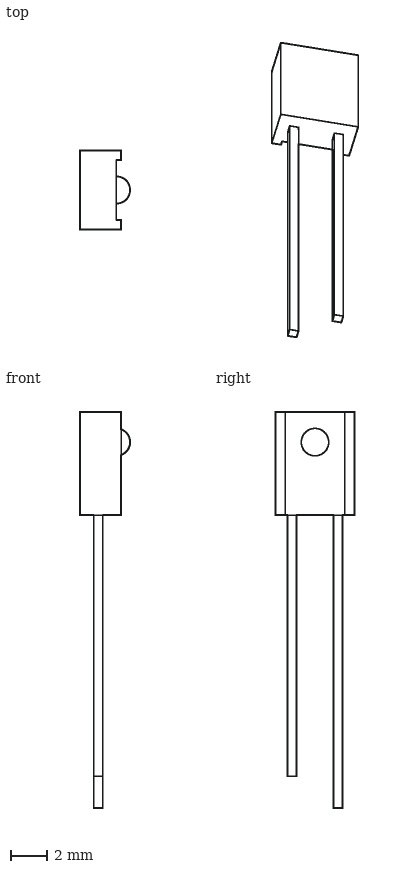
import cadquery as cq


body_width = 4.4
body_height = 5.72
core_depth = 2.03
lip_depth = 0.26
lip_width = 0.54

lens_diameter = 1.52
lens_drop = 1.68

lead_size = 0.51
lead_pitch = 2.54
overall_height = 21.95
lead_length_difference = 1.76

channel_floor_x = core_depth / 2
back_x = -core_depth / 2
body_depth = core_depth + lip_depth
channel_width = body_width - 2 * lip_width
lens_z = body_height - lens_drop
long_lead_length = overall_height - body_height
short_lead_length = long_lead_length - lead_length_difference


def make_body():
    """Rectangular block with a full-height channel between two lips on the +X face."""
    block = cq.Workplane("XY").box(
        body_depth, body_width, body_height, centered=(False, True, False)
    ).translate((back_x, 0, 0))
    channel = cq.Workplane("XY").box(
        lip_depth, channel_width, body_height, centered=(False, True, False)
    ).translate((channel_floor_x, 0, 0))
    return block.cut(channel)


def make_lens():
    """Ball centred on the channel floor, so that half of it stands out as a dome."""
    return cq.Workplane("XY").sphere(lens_diameter / 2).translate((channel_floor_x, 0, lens_z))


def make_lead(y, length):
    """Square lead hanging from the underside of the body."""
    return cq.Workplane("XY").center(0, y).rect(lead_size, lead_size).extrude(-length)


result = make_body().union(make_lens())
for lead_y, lead_length in (
    (lead_pitch / 2, long_lead_length),
    (-lead_pitch / 2, short_lead_length),
):
    result = result.union(make_lead(lead_y, lead_length))